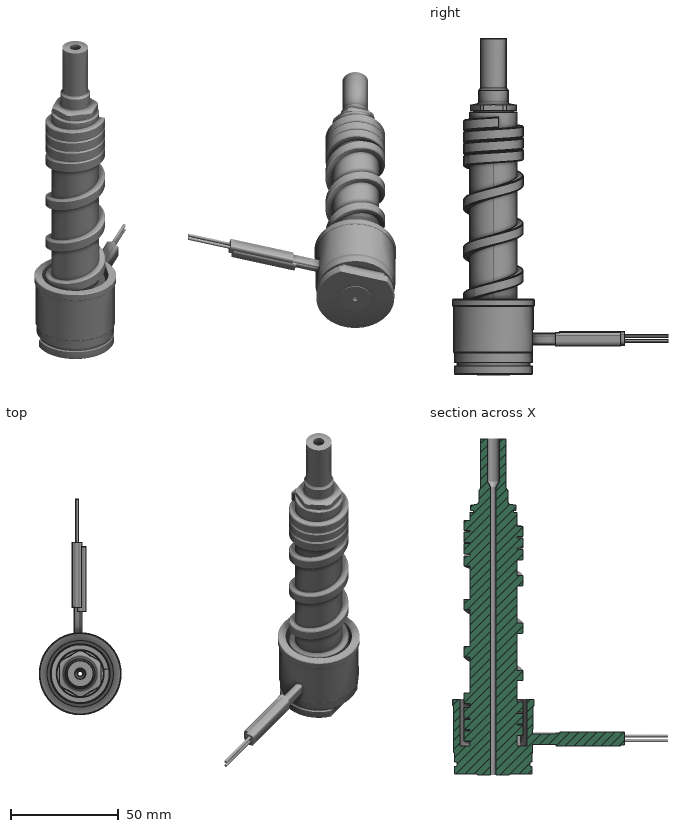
import cadquery as cq
import math

foot_height = 0.35
groove_top = 5.9
lip_top = 4.15
ring_top = 10.1
flange_bottom = 31.9
flange_top = 35.2
sleeve_top = 122.0
hex_bottom = 122.6
hex_corner_top = 125.2
neck_bottom = 126.7
neck_top = 132.0
shaft_bottom = 133.1
shaft_top = 156.0

foot_radius = 7.5
groove_radius = 17.0
ring_radius = 18.1
body_radius = 18.55
flange_radius = 19.0
sleeve_radius = 11.05
neck_radius = 6.9
neck_chamfer = 0.5
neck_fillet = 1.0
shaft_radius = 6.0
edge_chamfer = 0.3

foot_flat_offset = 14.0
cavity_radius = 15.4
cavity_floor = 13.6
cable_flat_offset = 18.15
cable_flat_top = 21.2
body_chamfer = 0.5

hex_across_flats = 19.3
hex_corner_radius = 10.65

bore_radius = 2.6
bore_depth = 20.0
bore_cone_angle = 60.0
vent_radius = 1.15

spring_outer_radius = 13.85
spring_embed = 0.3
wire_height = 5.0
wire_corner = 0.4
closed_pitch = 5.4
open_pitch = 22.0
closed_turns = 3.184
transition_turns = 0.385
transition_steps = 3
open_turns = 2.57
spring_end_angle = 10.0
spring_top = 119.7

lead_x = -1.42
lead_z = 16.95
second_lead_x = -0.53
second_insulation_x = 0.4
second_lead_drop = 0.4
lead_width = 2.8
lead_height = 5.1
lead_corner = 0.9
lead_root = 16.0
insulation_width = 4.6
insulation_height = 6.3
insulation_corner = 1.35
insulation_start = 30.75
insulation_end = 60.9
second_insulation_shift = -1.9
strand_radius = 0.7
strand_spacing = 2.25
strand_end = 81.0


def disc(radius, bottom, top):
    return cq.Workplane("XY").workplane(offset=bottom).circle(radius).extrude(top - bottom)


def make_housing():
    foot = disc(foot_radius, 0, lip_top)
    lip = disc(ring_radius, foot_height, lip_top).faces("<Z").chamfer(edge_chamfer)
    groove = disc(groove_radius, lip_top, groove_top)
    ring = disc(ring_radius, groove_top, ring_top)
    base = lip.union(groove)
    beyond_flat = cq.Workplane("XY").box(
        flange_radius, 2 * flange_radius, groove_top, centered=(False, True, False)
    ).translate((-foot_flat_offset - flange_radius, 0, 0))
    base = base.cut(beyond_flat).union(foot).union(ring)

    body = disc(body_radius, ring_top, flange_bottom).faces("<Z").chamfer(body_chamfer)
    beyond_cable_flat = cq.Workplane("XY").box(
        2 * flange_radius, flange_radius, cable_flat_top - ring_top, centered=(True, False, False)
    ).translate((0, cable_flat_offset, ring_top))
    body = body.cut(beyond_cable_flat)

    flange = disc(flange_radius, flange_bottom, flange_top).faces("<Z or >Z").chamfer(edge_chamfer)
    housing = base.union(body).union(flange)
    return housing.cut(disc(cavity_radius, cavity_floor, flange_top))


def make_core():
    """Sleeve, neck and shaft, turned about Z."""
    profile = [
        (0, ring_top),
        (sleeve_radius, ring_top),
        (sleeve_radius, sleeve_top - edge_chamfer),
        (sleeve_radius - edge_chamfer, sleeve_top),
        (hex_across_flats / 2 - edge_chamfer, sleeve_top),
        (hex_across_flats / 2 - edge_chamfer, hex_bottom),
        (neck_radius, hex_bottom),
        (neck_radius, neck_top),
        (neck_radius - neck_chamfer, neck_top + neck_chamfer),
        (shaft_radius, shaft_bottom),
        (shaft_radius, shaft_top),
        (0, shaft_top),
    ]
    return cq.Workplane("XZ").polyline(profile).close().revolve(360, (0, 0), (0, 1))


def make_hex_collar():
    """Hexagon with rounded corners, a conical top and a fillet up to the neck."""
    fillet_radius = neck_radius + neck_fillet
    fillet_bottom = neck_bottom - neck_fillet
    bend = neck_fillet * (1 - math.sqrt(0.5))
    turned = (
        cq.Workplane("XZ")
        .moveTo(0, hex_bottom)
        .lineTo(hex_corner_radius, hex_bottom)
        .lineTo(hex_corner_radius, hex_corner_top)
        .lineTo(fillet_radius, fillet_bottom)
        .threePointArc((neck_radius + bend, fillet_bottom + bend), (neck_radius, neck_bottom))
        .lineTo(0, neck_bottom)
        .close()
        .revolve(360, (0, 0), (0, 1))
    )
    prism = (
        cq.Workplane("XY")
        .workplane(offset=hex_bottom)
        .transformed(rotate=(0, 0, 30))
        .polygon(6, hex_across_flats / math.cos(math.pi / 6))
        .extrude(neck_bottom - hex_bottom)
    )
    return prism.intersect(turned)


def make_bore():
    point_height = bore_radius / math.tan(math.radians(bore_cone_angle / 2))
    bore_bottom = shaft_top - bore_depth
    drill = [
        (0, shaft_top),
        (bore_radius, shaft_top),
        (bore_radius, bore_bottom),
        (0, bore_bottom - point_height),
    ]
    drilled = cq.Workplane("XZ").polyline(drill).close().revolve(360, (0, 0), (0, 1))
    return drilled.union(disc(vent_radius, 0, shaft_top))


def make_coil(pitch, turns, start_angle, start_z):
    """Helical stretch of the flat wire; start_z is the wire's mid height."""
    wire_inner_radius = sleeve_radius - spring_embed
    wire_width = spring_outer_radius - wire_inner_radius
    path = cq.Wire.makeHelix(pitch, pitch * turns, wire_inner_radius)
    section = (
        cq.Workplane("XZ")
        .moveTo(wire_inner_radius, -wire_height / 2)
        .hLineTo(spring_outer_radius - wire_corner)
        .line(wire_corner, wire_corner)
        .vLineTo(wire_height / 2 - wire_corner)
        .line(-wire_corner, wire_corner)
        .hLineTo(wire_inner_radius)
        .close()
    )
    coil = section.sweep(cq.Workplane(obj=path), isFrenet=True)
    return coil.rotate((0, 0, 0), (0, 0, 1), start_angle).translate((0, 0, start_z))


def make_spring():
    """Closed, opening, open, closing and closed stretches, from the bottom up."""
    step_turns = transition_turns / transition_steps
    opening = []
    for step in range(transition_steps):
        share = (step + 0.5) / transition_steps
        opening.append((closed_pitch + share * (open_pitch - closed_pitch), step_turns))
    closed = [(closed_pitch, closed_turns)]
    stretches = closed + opening + [(open_pitch, open_turns)] + opening[::-1] + closed
    angle = spring_end_angle - 360 * sum(turns for _, turns in stretches)
    mid_z = spring_top - wire_height / 2 - sum(pitch * turns for pitch, turns in stretches)
    coils = []
    for pitch, turns in stretches:
        coils.append(make_coil(pitch, turns, angle, mid_z))
        angle += 360 * turns
        mid_z += pitch * turns
    return coils


def bar(width, height, corner, x, z, start, end):
    """Rounded rectangular bar along +Y."""
    block = cq.Workplane("XY").box(width, end - start, height).edges("|Y").fillet(corner)
    return block.translate((x, (start + end) / 2, z))


def make_leads():
    second_z = lead_z - second_lead_drop
    lead_section = (lead_width, lead_height, lead_corner)
    insulation_section = (insulation_width, insulation_height, insulation_corner)
    second_start = insulation_start + second_insulation_shift
    second_end = insulation_end + second_insulation_shift

    leads = bar(*lead_section, lead_x, lead_z, lead_root, insulation_end)
    leads = leads.union(bar(*insulation_section, lead_x, lead_z, insulation_start, insulation_end))
    leads = leads.union(bar(*lead_section, second_lead_x, second_z, lead_root, second_end))
    leads = leads.union(bar(*insulation_section, second_insulation_x, second_z, second_start, second_end))
    for side in (-1, 1):
        strand = (
            cq.Workplane("XZ", origin=(lead_x, strand_end, lead_z + side * strand_spacing / 2))
            .circle(strand_radius)
            .extrude(strand_end - insulation_start)
        )
        leads = leads.union(strand)
    return leads


result = make_housing().union(make_leads())
result = result.union(make_core()).union(make_hex_collar())
for coil in make_spring():
    result = result.union(coil)
result = result.cut(make_bore())